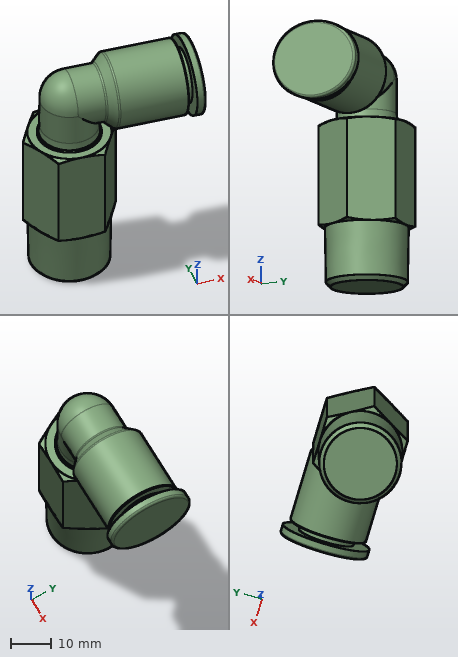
import cadquery as cq
import math


THREAD_LENGTH = 15.0
HEX_LENGTH = 26.2
OVERALL_HEIGHT = 62.0

THREAD_TOP_RADIUS = 10.48
THREAD_LOWER_RADIUS = 10.25
THREAD_CHAMFER_HEIGHT = 1.2
THREAD_END_RADIUS = 9.1

HEX_ACROSS_FLATS = 21.0
HEX_CHAMFER_RADIUS = HEX_ACROSS_FLATS / 2
HEX_CHAMFER_ANGLE = 20.0

ELBOW_RADIUS = 7.5
COLLAR_HEIGHT = 2.5
COLLAR_BASE_RADIUS = 7.7
FLARE_HEIGHT = 0.4
FLARE_RADIUS = 8.1

SOCKET_RADIUS = 9.85
CONE_START = 7.5
CONE_END = 10.1
CONE_ROUND = 0.7
SOCKET_END = 28.2
SOCKET_END_CHAMFER = 0.2
NECK_RADIUS = 7.1

FLANGE_START = 29.9
FLANGE_END = 32.2
FLANGE_WIDTH = 22.5
FLANGE_HEIGHT = 19.5
FLANGE_ROUND = 0.6

HEX_BASE = THREAD_LENGTH
HEX_TOP = HEX_BASE + HEX_LENGTH
HEX_CORNER_RADIUS = HEX_ACROSS_FLATS / math.sqrt(3)
SOCKET_AXIS_HEIGHT = OVERALL_HEIGHT - SOCKET_RADIUS


def make_thread():
    profile = (
        cq.Workplane("XZ")
        .lineTo(THREAD_END_RADIUS, 0)
        .lineTo(THREAD_LOWER_RADIUS, THREAD_CHAMFER_HEIGHT)
        .lineTo(THREAD_TOP_RADIUS, THREAD_LENGTH)
        .lineTo(0, THREAD_LENGTH)
        .close()
    )
    return profile.revolve(360, (0, 0, 0), (0, 1, 0))


def make_hexagon():
    """Hexagonal prism with conically chamfered corners at both ends."""
    prism = (
        cq.Workplane("XY")
        .workplane(offset=HEX_BASE)
        .polygon(6, 2 * HEX_CORNER_RADIUS)
        .extrude(HEX_LENGTH)
    )
    chamfer_width = HEX_CORNER_RADIUS - HEX_CHAMFER_RADIUS
    chamfer_height = chamfer_width * math.tan(math.radians(HEX_CHAMFER_ANGLE))
    envelope = (
        cq.Workplane("XZ")
        .moveTo(0, HEX_BASE)
        .lineTo(HEX_CHAMFER_RADIUS, HEX_BASE)
        .lineTo(HEX_CORNER_RADIUS, HEX_BASE + chamfer_height)
        .lineTo(HEX_CORNER_RADIUS, HEX_TOP - chamfer_height)
        .lineTo(HEX_CHAMFER_RADIUS, HEX_TOP)
        .lineTo(0, HEX_TOP)
        .close()
        .revolve(360, (0, 0, 0), (0, 1, 0))
    )
    return prism.intersect(envelope)


def make_elbow_leg():
    """Upright leg with a slightly tapered collar and a small flare on the hexagon."""
    profile = (
        cq.Workplane("XZ")
        .moveTo(0, HEX_TOP)
        .lineTo(FLARE_RADIUS, HEX_TOP)
        .lineTo(COLLAR_BASE_RADIUS, HEX_TOP + FLARE_HEIGHT)
        .lineTo(ELBOW_RADIUS, HEX_TOP + COLLAR_HEIGHT)
        .lineTo(ELBOW_RADIUS, SOCKET_AXIS_HEIGHT)
        .lineTo(0, SOCKET_AXIS_HEIGHT)
        .close()
    )
    return profile.revolve(360, (0, 0, 0), (0, 1, 0))


def make_elbow_ball():
    return cq.Workplane("XY").sphere(ELBOW_RADIUS).translate((0, 0, SOCKET_AXIS_HEIGHT))


def make_socket():
    """Horizontal arm, cone, socket barrel and the neck that carries the flange."""
    barrel = (
        cq.Workplane("XZ")
        .lineTo(0, ELBOW_RADIUS)
        .lineTo(CONE_START, ELBOW_RADIUS)
        .lineTo(CONE_END, SOCKET_RADIUS)
        .lineTo(SOCKET_END, SOCKET_RADIUS)
        .lineTo(SOCKET_END, 0)
        .close()
        .revolve(360, (0, 0, 0), (1, 0, 0))
    )
    cone_edges = cq.selectors.BoxSelector(
        (CONE_START - CONE_ROUND, -SOCKET_RADIUS, -2 * SOCKET_RADIUS),
        (CONE_END + CONE_ROUND, SOCKET_RADIUS, 2 * SOCKET_RADIUS),
    )
    barrel = barrel.edges("%CIRCLE").edges(cone_edges).fillet(CONE_ROUND)
    barrel = barrel.faces(">X").edges().chamfer(SOCKET_END_CHAMFER)
    neck = (
        cq.Workplane("YZ")
        .workplane(offset=SOCKET_END)
        .circle(NECK_RADIUS)
        .extrude(FLANGE_START - SOCKET_END)
    )
    return barrel.union(neck).translate((0, 0, SOCKET_AXIS_HEIGHT))


def make_flange():
    return (
        cq.Workplane("YZ")
        .workplane(offset=FLANGE_START)
        .center(0, SOCKET_AXIS_HEIGHT)
        .ellipse(FLANGE_WIDTH / 2, FLANGE_HEIGHT / 2)
        .extrude(FLANGE_END - FLANGE_START)
        .faces(">X")
        .edges()
        .fillet(FLANGE_ROUND)
    )


result = (
    make_thread()
    .union(make_hexagon())
    .union(make_elbow_leg())
    .union(make_elbow_ball())
    .union(make_socket())
    .union(make_flange())
)